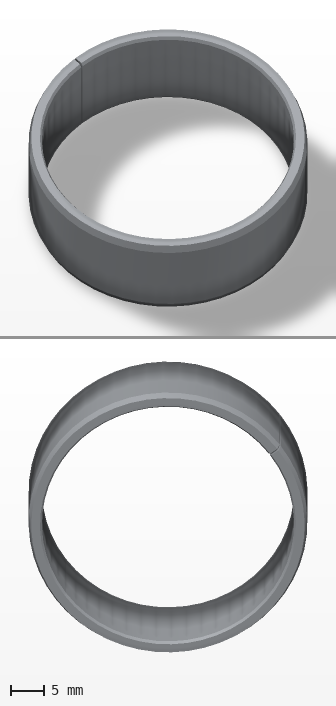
import cadquery as cq

outer_diameter = 42.0
wall = 2.0
height = 15.0
outer_chamfer_height = 1.2
outer_chamfer_depth = 0.4
inner_chamfer_height = 0.5
inner_chamfer_depth = 0.3
slit_width = 0.3

outer_radius = outer_diameter / 2
inner_radius = outer_radius - wall
half_height = height / 2


def ring():
    """Revolve the chamfered wall section about Z, centred on the origin."""
    outer_edge_z = half_height - outer_chamfer_height
    inner_edge_z = half_height - inner_chamfer_height
    end_outer_radius = outer_radius - outer_chamfer_depth
    end_inner_radius = inner_radius + inner_chamfer_depth
    section = [
        (inner_radius, -inner_edge_z),
        (end_inner_radius, -half_height),
        (end_outer_radius, -half_height),
        (outer_radius, -outer_edge_z),
        (outer_radius, outer_edge_z),
        (end_outer_radius, half_height),
        (end_inner_radius, half_height),
        (inner_radius, inner_edge_z),
    ]
    return cq.Workplane("XZ").polyline(section).close().revolve(360, (0, 0), (0, 1))


def slit():
    """Block past the -X side of the wall, with one face on the XZ plane and its width toward +Y."""
    block = cq.Workplane("XY").box(outer_diameter, slit_width, height)
    return block.translate((-outer_radius, slit_width / 2, 0))


result = ring().cut(slit())